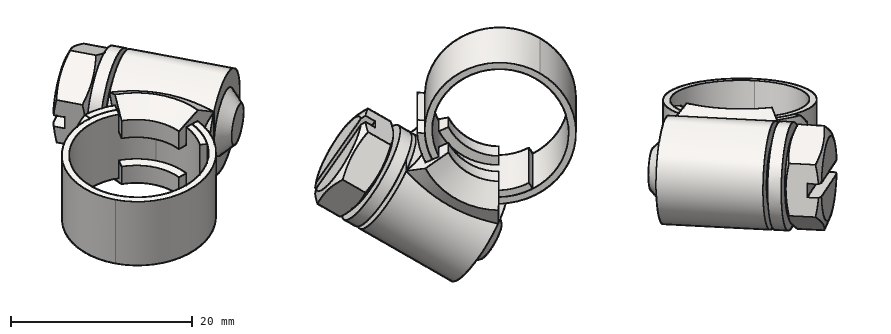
import cadquery as cq
import math

TOTAL_LENGTH = 27.98

BARREL_RADIUS = 12.0 / 2
BARREL_LENGTH = 11.98
BARREL_END = BARREL_LENGTH / 2

SHAFT_RADIUS = 3.9
TIP_CHAMFER = 1.55
HEAD_START = -12.28
HEAD_LENGTH = 4.09
HEAD_CORNER_RADIUS = BARREL_RADIUS
HEAD_FACE_RADIUS = 4.7
HEAD_BEVEL_LENGTH = 0.55
SLOT_WIDTH = 1.57
SLOT_DEPTH = 1.48
COLLAR_RADIUS = BARREL_RADIUS
COLLAR_START = -8.03
COLLAR_LENGTH = 1.5

BAND_WIDTH = 9.0
BAND_THICKNESS = 0.8
LAYER_GAP = 0.03
BAND_PITCH = BAND_THICKNESS + LAYER_GAP
BAND_INNER_RADIUS = 7.41
CENTER_SHIFT = BAND_PITCH / 2
INNER_TAIL_ANGLE = 28.0
OUTER_TAIL_ANGLE = 152.5
TAIL_CORNER_LENGTH = 1.1
TAIL_CORNER_HEIGHT = 0.98
HOSE_Y = BARREL_RADIUS - TOTAL_LENGTH + BAND_INNER_RADIUS + BAND_THICKNESS

SADDLE_HALF_ANGLE = 31.7
SADDLE_INNER_RADIUS = 6.27
SADDLE_RIDGE_RADIUS = BAND_INNER_RADIUS + BAND_PITCH + BAND_THICKNESS
SADDLE_OUTER_RADIUS = 11.45
SADDLE_RIDGE_HEIGHT = BARREL_RADIUS
SADDLE_INNER_HEIGHT = 4.48
SADDLE_OUTER_HEIGHT = 4.48
WINDOW_HALF_HEIGHT = 2.0


def x_cylinder(radius, start, length):
    return cq.Workplane("YZ", origin=(start, 0, 0)).circle(radius).extrude(length)


def polar(radius, degrees, center_y=0.0):
    angle = math.radians(degrees)
    return (radius * math.cos(angle), center_y + radius * math.sin(angle))


def band_segment(inner_radius, center_y, start_angle, end_angle):
    """Circular piece of band around a center offset from the hose axis."""
    outer_radius = inner_radius + BAND_THICKNESS
    middle_angle = (start_angle + end_angle) / 2
    return (
        cq.Workplane("XY", origin=(0, HOSE_Y, -BAND_WIDTH / 2))
        .moveTo(*polar(inner_radius, start_angle, center_y))
        .threePointArc(polar(inner_radius, middle_angle, center_y), polar(inner_radius, end_angle, center_y))
        .lineTo(*polar(outer_radius, end_angle, center_y))
        .threePointArc(polar(outer_radius, middle_angle, center_y), polar(outer_radius, start_angle, center_y))
        .close()
        .extrude(BAND_WIDTH)
    )


def outer_tail():
    """Last piece of band, with both corners of its free end cut off."""
    inner_radius = BAND_INNER_RADIUS + BAND_PITCH
    tail = band_segment(inner_radius, 0, 90, OUTER_TAIL_ANGLE)
    end_x, end_y = polar(inner_radius + BAND_THICKNESS / 2, OUTER_TAIL_ANGLE)
    plane = cq.Plane(
        origin=(end_x, HOSE_Y + end_y, 0),
        xDir=(*polar(1, OUTER_TAIL_ANGLE - 90), 0),
        normal=(*polar(1, OUTER_TAIL_ANGLE), 0),
    )
    for side in (1, -1):
        edge = side * BAND_WIDTH / 2
        corner = (
            cq.Workplane(plane)
            .polyline([
                (0, edge - side * TAIL_CORNER_HEIGHT),
                (TAIL_CORNER_LENGTH, edge),
                (-TAIL_CORNER_LENGTH, edge),
                (-TAIL_CORNER_LENGTH, edge - side * TAIL_CORNER_HEIGHT),
            ])
            .close()
            .extrude(BAND_THICKNESS, both=True)
        )
        tail = tail.cut(corner)
    return tail


def make_band():
    lower_radius = BAND_INNER_RADIUS - CENTER_SHIFT
    upper_radius = BAND_INNER_RADIUS + CENTER_SHIFT
    inner_tail = band_segment(lower_radius, CENTER_SHIFT, INNER_TAIL_ANGLE, 90)
    left_half = band_segment(BAND_INNER_RADIUS, 0, 90, 270)
    right_half = band_segment(upper_radius, CENTER_SHIFT, -90, 90)
    return inner_tail.union(left_half).union(right_half).union(outer_tail())


def make_saddle():
    """Ridged sector whose two arms grip the band around a central window."""
    half_profile = [
        (SADDLE_INNER_RADIUS, WINDOW_HALF_HEIGHT),
        (SADDLE_INNER_RADIUS, SADDLE_INNER_HEIGHT),
        (SADDLE_RIDGE_RADIUS, SADDLE_RIDGE_HEIGHT),
        (SADDLE_OUTER_RADIUS, SADDLE_OUTER_HEIGHT),
    ]
    mirrored = [(radius, -height) for radius, height in reversed(half_profile)]
    window = [
        (BAND_INNER_RADIUS, -WINDOW_HALF_HEIGHT),
        (BAND_INNER_RADIUS, WINDOW_HALF_HEIGHT),
    ]
    start_angle = 90 - SADDLE_HALF_ANGLE
    return (
        cq.Workplane("XZ")
        .polyline(half_profile + mirrored + window)
        .close()
        .revolve(2 * SADDLE_HALF_ANGLE, (0, 0, 0), (0, 1, 0))
        .rotate((0, 0, 0), (0, 0, 1), start_angle)
        .translate((0, HOSE_Y, 0))
    )


def make_clamp():
    """Barrel, saddle and band in one piece, bored for the screw."""
    barrel = x_cylinder(BARREL_RADIUS, -BARREL_END, BARREL_LENGTH)
    bore = x_cylinder(SHAFT_RADIUS, -BARREL_END, BARREL_LENGTH)
    return barrel.union(make_saddle()).union(make_band()).cut(bore)


def make_screw_head():
    hexagon = (
        cq.Workplane("YZ", origin=(HEAD_START, 0, 0))
        .polygon(6, 2 * HEAD_CORNER_RADIUS)
        .extrude(HEAD_LENGTH)
        .rotate((0, 0, 0), (1, 0, 0), 90)
    )
    head_end = HEAD_START + HEAD_LENGTH
    bevel_envelope = (
        cq.Workplane("XY")
        .polyline([
            (HEAD_START, 0),
            (HEAD_START, HEAD_FACE_RADIUS),
            (HEAD_START + HEAD_BEVEL_LENGTH, HEAD_CORNER_RADIUS),
            (head_end - HEAD_BEVEL_LENGTH, HEAD_CORNER_RADIUS),
            (head_end, HEAD_FACE_RADIUS),
            (head_end, 0),
        ])
        .close()
        .revolve(360, (0, 0, 0), (1, 0, 0))
    )
    slot = cq.Workplane("XY").box(2 * SLOT_DEPTH, 2 * HEAD_CORNER_RADIUS, SLOT_WIDTH)
    return hexagon.intersect(bevel_envelope).cut(slot.translate((HEAD_START, 0, 0)))


def make_screw():
    """Slotted hexagon screw with a collar and a chamfered tip beyond the barrel."""
    shaft_end = BARREL_END + TIP_CHAMFER
    shaft_start = HEAD_START + HEAD_LENGTH
    shaft = x_cylinder(SHAFT_RADIUS, shaft_start, shaft_end - shaft_start)
    shaft = shaft.faces(">X").chamfer(TIP_CHAMFER)
    collar = x_cylinder(COLLAR_RADIUS, COLLAR_START, COLLAR_LENGTH)
    return make_screw_head().union(shaft).union(collar)


clamp = make_clamp()
screw = make_screw()
result = cq.Compound.makeCompound([clamp.solids().val(), screw.solids().val()])